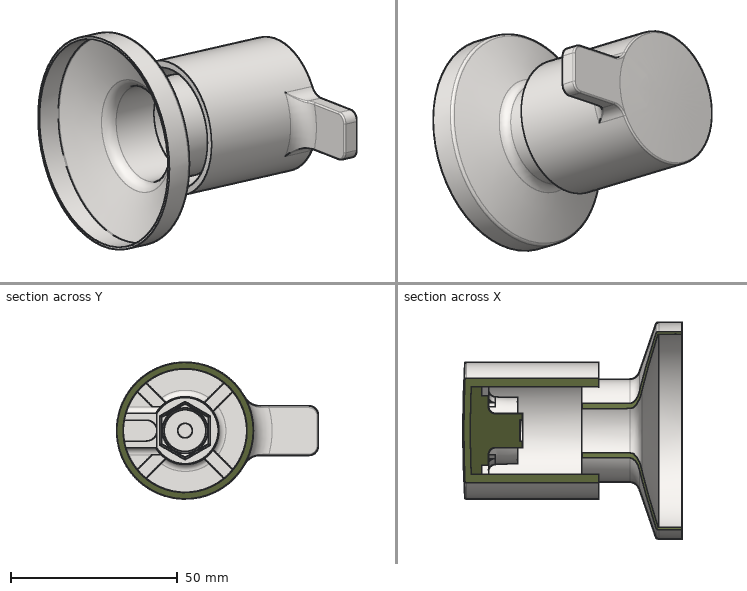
import cadquery as cq
import math


FLANGE_RADIUS = 32.515
FLANGE_WALL = 0.8
RIM_CORNER_Y = 7.75
RIM_FILLET = 1.0
NECK_RADIUS = 15.45
NECK_CORNER_Y = 13.6
NECK_FILLET = 3.0
NECK_END_Y = 30.1

HANDLE_RADIUS = 20.5
HANDLE_WALL = 2.0
HANDLE_FRONT_Y = 25.0
HANDLE_BACK_Y = 65.2
DOME_RISE = 0.6
EDGE_FILLET = 0.5
DOME_RADIUS = HANDLE_RADIUS - EDGE_FILLET
DOME_TOP_Y = HANDLE_BACK_Y + DOME_RISE
BORE_RADIUS = HANDLE_RADIUS - HANDLE_WALL

LEVER_TIP_X = 72.5 - FLANGE_RADIUS
LEVER_HALF_WIDTH = 7.5
LEVER_THICKNESS = 5.0
LEVER_TIP_FILLET = 3.0
LEVER_SIDE_FILLET = 5.0
LEVER_FRONT_FILLET = 5.5
LEVER_FRONT_Y = HANDLE_BACK_Y - LEVER_THICKNESS

PLATE_FRONT_Y = 58.0
HUB_FRONT_Y = 49.3
HUB_FOOT_RADIUS = 10.15
HUB_TIP_RADIUS = 9.9
FOOT_FILLET = 2.0
GROOVE_WIDTH = 3.7
GROOVE_DEPTH = 2.0
GROOVE_ANGLES = (45, 135, 225, 315)
BAR_FRONT_Y = 47.85
BAR_HALF_WIDTH = 5.15
BAR_FOOT_HALF_WIDTH = BAR_HALF_WIDTH + FOOT_FILLET
BAR_INNER_X = -8.4
FOOT_INNER_X = -6.9
BAR_SLOT_RADIUS = 3.1
BAR_SLOT_DEPTH = 0.7
HEX_SIDES = 6
HEX_MOUTH_FLATS = 15.1
HEX_FLOOR_FLATS = 13.9
HEX_DEPTH = 5.8
SOCKET_MOUTH_RADIUS = 6.8
SOCKET_FLOOR_RADIUS = 6.2
SOCKET_DEPTH = 5.8
INSERT_HOLE_RADIUS = 2.2


def turned(profile):
    """Revolve a closed (radius, y) profile about the Y axis."""
    return profile.revolve(360, (0, 0, 0), (0, 1, 0))


def section(y):
    """Sketch plane across the axis at height y; local axes are X and Z."""
    return cq.Workplane("XZ", origin=(0, y, 0))


def cylinder(radius, y_start, y_end):
    """Cylinder on the axis between two heights."""
    return section(y_start).circle(radius).extrude(y_start - y_end)


def cone(radius_start, radius_end, y_start, y_end):
    """Tapered cylinder between two heights on the axis."""
    outline = [(0, y_start), (radius_start, y_start), (radius_end, y_end), (0, y_end)]
    return turned(cq.Workplane("XY").polyline(outline).close())


def domed_cylinder(radius, y_start, y_edge):
    """Cylinder whose back bulges by DOME_RISE beyond its edge."""
    sphere_radius = (radius**2 + DOME_RISE**2) / (2 * DOME_RISE)
    mid_radius = radius / 2
    mid_drop = sphere_radius - math.sqrt(sphere_radius**2 - mid_radius**2)
    apex_y = y_edge + DOME_RISE
    return turned(
        cq.Workplane("XY")
        .moveTo(0, y_start)
        .lineTo(radius, y_start)
        .lineTo(radius, y_edge)
        .threePointArc((mid_radius, apex_y - mid_drop), (0, apex_y))
        .close()
    )


def make_flange():
    """Solid bell with rounded corners, hollowed to an even wall and open at both ends."""
    outline = [
        (0, 0),
        (FLANGE_RADIUS, 0),
        (FLANGE_RADIUS, RIM_CORNER_Y),
        (NECK_RADIUS, NECK_CORNER_Y),
        (NECK_RADIUS, NECK_END_Y),
        (0, NECK_END_Y),
    ]
    bell = turned(cq.Workplane("XY").polyline(outline).close())
    rim_point = (0, RIM_CORNER_Y, FLANGE_RADIUS)
    neck_point = (0, NECK_CORNER_Y, NECK_RADIUS)
    bell = bell.edges(cq.selectors.NearestToPointSelector(rim_point)).fillet(RIM_FILLET)
    bell = bell.edges(cq.selectors.NearestToPointSelector(neck_point)).fillet(NECK_FILLET)
    return bell.faces("<Y or >Y").shell(-FLANGE_WALL)


def make_lever():
    """Flat lever whose sides and front flare into the handle with round roots."""
    root_center_z = LEVER_HALF_WIDTH + LEVER_SIDE_FILLET
    root_center_distance = HANDLE_RADIUS + LEVER_SIDE_FILLET
    root_center_x = math.sqrt(root_center_distance**2 - root_center_z**2)
    root_angle = math.atan2(root_center_z, root_center_x)
    tangent_x = HANDLE_RADIUS * math.cos(root_angle)
    tangent_z = HANDLE_RADIUS * math.sin(root_angle)
    mid_angle = (math.pi + root_angle + 1.5 * math.pi) / 2
    mid_x = root_center_x + LEVER_SIDE_FILLET * math.cos(mid_angle)
    mid_z = root_center_z + LEVER_SIDE_FILLET * math.sin(mid_angle)

    root_front_y = LEVER_FRONT_Y - LEVER_FRONT_FILLET
    lever = (
        section(root_front_y)
        .moveTo(0, tangent_z)
        .lineTo(tangent_x, tangent_z)
        .threePointArc((mid_x, mid_z), (root_center_x, LEVER_HALF_WIDTH))
        .lineTo(LEVER_TIP_X, LEVER_HALF_WIDTH)
        .lineTo(LEVER_TIP_X, -LEVER_HALF_WIDTH)
        .lineTo(root_center_x, -LEVER_HALF_WIDTH)
        .threePointArc((mid_x, -mid_z), (tangent_x, -tangent_z))
        .lineTo(0, -tangent_z)
        .close()
        .extrude(root_front_y - HANDLE_BACK_Y)
        .edges("|Y and >X")
        .fillet(LEVER_TIP_FILLET)
    )

    arc_shift = LEVER_FRONT_FILLET * math.sqrt(0.5)
    flare_end = HANDLE_RADIUS + LEVER_FRONT_FILLET
    beyond_tip = 2 * LEVER_TIP_X
    front_relief = turned(
        cq.Workplane("XY")
        .moveTo(HANDLE_RADIUS, root_front_y)
        .threePointArc(
            (flare_end - arc_shift, root_front_y + arc_shift),
            (flare_end, LEVER_FRONT_Y),
        )
        .lineTo(beyond_tip, LEVER_FRONT_Y)
        .lineTo(beyond_tip, root_front_y)
        .close()
    )
    return lever.cut(front_relief)


def make_handle():
    """Cup with its lever, rounded edges, domed back and domed bore."""
    body = cylinder(HANDLE_RADIUS, HANDLE_FRONT_Y, HANDLE_BACK_Y).union(make_lever())
    lever_front = cq.selectors.NearestToPointSelector((LEVER_TIP_X, LEVER_FRONT_Y, 0))
    body = body.edges(lever_front).fillet(EDGE_FILLET)
    body = body.faces(">Y").edges().fillet(EDGE_FILLET)
    body = body.union(domed_cylinder(DOME_RADIUS, HANDLE_FRONT_Y, HANDLE_BACK_Y))
    return body.cut(domed_cylinder(BORE_RADIUS, HANDLE_FRONT_Y, HANDLE_BACK_Y - HANDLE_WALL))


def make_insert_plate():
    """Plate with a round fillet at the hub foot, crossed by radial grooves."""
    fillet_front_y = PLATE_FRONT_Y - FOOT_FILLET
    fillet_radius = HUB_FOOT_RADIUS + FOOT_FILLET
    arc_shift = FOOT_FILLET * math.sqrt(0.5)
    foot = turned(
        cq.Workplane("XY")
        .moveTo(0, fillet_front_y)
        .lineTo(HUB_FOOT_RADIUS, fillet_front_y)
        .threePointArc(
            (fillet_radius - arc_shift, fillet_front_y + arc_shift),
            (fillet_radius, PLATE_FRONT_Y),
        )
        .lineTo(0, PLATE_FRONT_Y)
        .close()
    )
    plate = domed_cylinder(BORE_RADIUS, PLATE_FRONT_Y, HANDLE_BACK_Y - HANDLE_WALL).union(foot)
    for angle in GROOVE_ANGLES:
        groove = (
            section(fillet_front_y)
            .center(BORE_RADIUS / 2, 0)
            .rect(BORE_RADIUS, GROOVE_WIDTH)
            .extrude(-FOOT_FILLET - GROOVE_DEPTH)
            .cut(cylinder(HUB_FOOT_RADIUS, fillet_front_y, PLATE_FRONT_Y + GROOVE_DEPTH))
            .rotate((0, 0, 0), (0, 1, 0), angle)
        )
        plate = plate.cut(groove)
    bar_gap = (
        section(fillet_front_y)
        .center((FOOT_INNER_X - BORE_RADIUS) / 2, 0)
        .rect(BORE_RADIUS + FOOT_INNER_X, 2 * BAR_FOOT_HALF_WIDTH)
        .extrude(-FOOT_FILLET)
    )
    return plate.cut(bar_gap)


def make_bar():
    """Radial bar with filleted feet and a round-ended slot in its front."""
    foot_front_y = PLATE_FRONT_Y - FOOT_FILLET
    foot_back_y = PLATE_FRONT_Y + GROOVE_DEPTH
    arc_shift = FOOT_FILLET * math.sqrt(0.5)
    arc_mid_y = foot_front_y + arc_shift
    arc_mid_z = BAR_FOOT_HALF_WIDTH - arc_shift
    foot = (
        cq.Workplane("YZ", origin=(-BORE_RADIUS, 0, 0))
        .moveTo(foot_back_y, BAR_FOOT_HALF_WIDTH)
        .lineTo(PLATE_FRONT_Y, BAR_FOOT_HALF_WIDTH)
        .threePointArc((arc_mid_y, arc_mid_z), (foot_front_y, BAR_HALF_WIDTH))
        .lineTo(foot_front_y, -BAR_HALF_WIDTH)
        .threePointArc((arc_mid_y, -arc_mid_z), (PLATE_FRONT_Y, -BAR_FOOT_HALF_WIDTH))
        .lineTo(foot_back_y, -BAR_FOOT_HALF_WIDTH)
        .close()
        .extrude(BORE_RADIUS + FOOT_INNER_X)
    )
    bar = (
        section(BAR_FRONT_Y)
        .center((BAR_INNER_X - BORE_RADIUS) / 2, 0)
        .rect(BORE_RADIUS + BAR_INNER_X, 2 * BAR_HALF_WIDTH)
        .extrude(BAR_FRONT_Y - foot_back_y)
        .union(foot)
    )
    slot_center_x = BAR_INNER_X - BAR_SLOT_RADIUS
    slot = (
        section(BAR_FRONT_Y)
        .moveTo(-BORE_RADIUS, BAR_SLOT_RADIUS)
        .lineTo(slot_center_x, BAR_SLOT_RADIUS)
        .threePointArc((BAR_INNER_X, 0), (slot_center_x, -BAR_SLOT_RADIUS))
        .lineTo(-BORE_RADIUS, -BAR_SLOT_RADIUS)
        .close()
        .extrude(-BAR_SLOT_DEPTH)
    )
    return bar.cut(slot).intersect(cylinder(BORE_RADIUS, BAR_FRONT_Y, foot_back_y))


def hexagon_corners(across_flats):
    """Corner points of a hexagon with two corners on the Z direction."""
    corner_radius = across_flats / 2 / math.cos(math.pi / HEX_SIDES)
    angles = [math.pi / 2 + 2 * math.pi * side / HEX_SIDES for side in range(HEX_SIDES)]
    return [(corner_radius * math.cos(a), corner_radius * math.sin(a)) for a in angles]


def make_socket():
    """Tapered hex recess, then a tapered round recess and a through hole."""
    hex_floor_y = HUB_FRONT_Y + HEX_DEPTH
    socket_floor_y = hex_floor_y + SOCKET_DEPTH
    hexagon = (
        section(HUB_FRONT_Y)
        .polyline(hexagon_corners(HEX_MOUTH_FLATS))
        .close()
        .workplane(offset=-HEX_DEPTH)
        .polyline(hexagon_corners(HEX_FLOOR_FLATS))
        .close()
        .loft(ruled=True)
    )
    round_recess = cone(SOCKET_MOUTH_RADIUS, SOCKET_FLOOR_RADIUS, hex_floor_y, socket_floor_y)
    hole = cylinder(INSERT_HOLE_RADIUS, socket_floor_y, DOME_TOP_Y)
    return hexagon.union(round_recess).union(hole)


def make_insert():
    """Grooved plate with the tapered hub and bar on its front and a stepped socket."""
    hub = cone(HUB_TIP_RADIUS, HUB_FOOT_RADIUS, HUB_FRONT_Y, PLATE_FRONT_Y)
    return make_insert_plate().union(hub).union(make_bar()).cut(make_socket())


flange = make_flange()
handle = make_handle()
insert = make_insert()

result = cq.Compound.makeCompound([flange.val(), handle.solids().val(), insert.solids().val()])